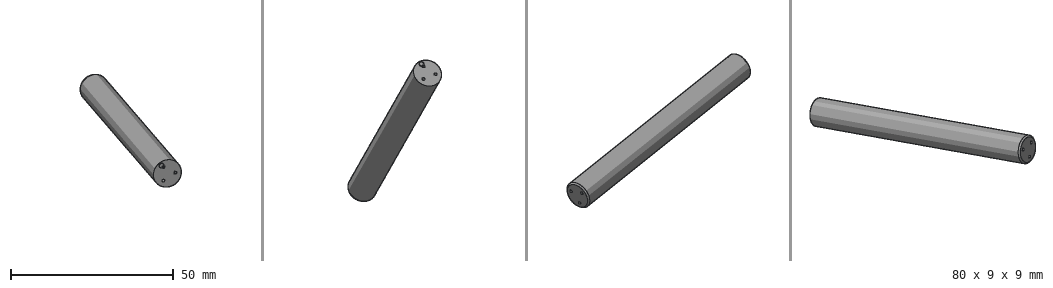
import cadquery as cq
import math

total_length = 80.0
rod_diameter = 9.0
chamfer_size = 0.5

boss_height = 0.2
boss_diameter = 1.5
boss_y = -1.9
boss_z = 2.8

hole_count = 3
hole_diameter = 0.9
hole_circle_radius = 2.6
first_hole_angle = 11.0
helix_angle = 30.0

rod_length = total_length - boss_height
start_x = -total_length / 2
end_x = start_x + rod_length
helix_pitch = math.pi * rod_diameter / math.tan(math.radians(helix_angle))
twist_angle = 360 * rod_length / helix_pitch


def make_rod():
    """Solid rod with a chamfered rim at its -X end."""
    rod = cq.Workplane("YZ", origin=(start_x, 0, 0)).circle(rod_diameter / 2).extrude(rod_length)
    return rod.faces("<X").edges().chamfer(chamfer_size)


def make_boss():
    """Low round boss standing on the +X end face."""
    return cq.Workplane("YZ", origin=(end_x, boss_y, boss_z)).circle(boss_diameter / 2).extrude(boss_height)


def make_holes():
    """Cutters for the evenly spaced right-hand helical holes."""
    return (
        cq.Workplane("YZ", origin=(start_x, 0, 0))
        .polarArray(hole_circle_radius, first_hole_angle, 360, hole_count)
        .circle(hole_diameter / 2)
        .twistExtrude(rod_length, twist_angle)
    )


result = make_rod().cut(make_holes()).union(make_boss())